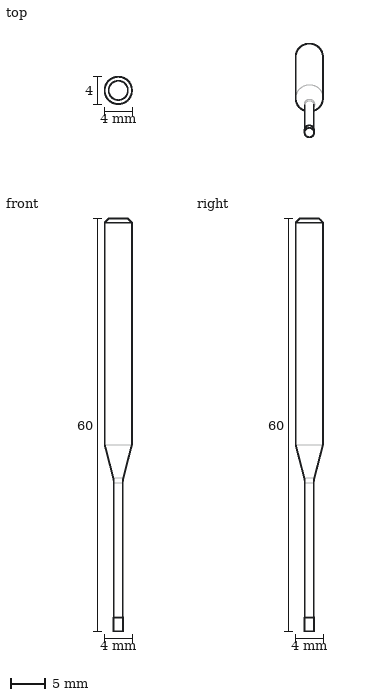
import cadquery as cq
import math

total_length = 60.0

head_radius = 0.7
head_length = 2.0

neck_radius = 0.67
neck_taper_length = 0.2
neck_end_z = 21.6

blend_radius = 3.0
cone_half_angle = math.radians(14.5)

shank_radius = 2.0
end_chamfer_width = 0.6
end_chamfer_height = 0.6

blend_mid_angle = cone_half_angle / 2
blend_end_radius = neck_radius + blend_radius * (1 - math.cos(cone_half_angle))
blend_end_z = neck_end_z + blend_radius * math.sin(cone_half_angle)
blend_mid_point = (
    -neck_radius - blend_radius * (1 - math.cos(blend_mid_angle)),
    neck_end_z + blend_radius * math.sin(blend_mid_angle),
)
shank_start_z = blend_end_z + (shank_radius - blend_end_radius) / math.tan(cone_half_angle)


def revolve_about_z(profile):
    """Turn a closed half profile, drawn on the -Y side of the YZ plane, about Z."""
    return profile.revolve(360, (0, 0, 0), (0, 1, 0))


def make_cutting_head():
    """Plain cylinder standing on Z = 0."""
    profile = cq.Workplane("YZ").moveTo(0, 0).lineTo(-head_radius, 0)
    profile = profile.lineTo(-head_radius, head_length).lineTo(0, head_length).close()
    return revolve_about_z(profile)


def make_shank():
    """Neck, blend, cone and chamfered shank, standing on the cutting head."""
    profile = (
        cq.Workplane("YZ")
        .moveTo(0, head_length)
        .lineTo(-head_radius, head_length)
        .lineTo(-neck_radius, head_length + neck_taper_length)
        .lineTo(-neck_radius, neck_end_z)
        .threePointArc(blend_mid_point, (-blend_end_radius, blend_end_z))
        .lineTo(-shank_radius, shank_start_z)
        .lineTo(-shank_radius, total_length - end_chamfer_height)
        .lineTo(-shank_radius + end_chamfer_width, total_length)
        .lineTo(0, total_length)
        .close()
    )
    return revolve_about_z(profile)


cutting_head = make_cutting_head()
shank = make_shank()

result = cq.Compound.makeCompound([cutting_head.val(), shank.val()])